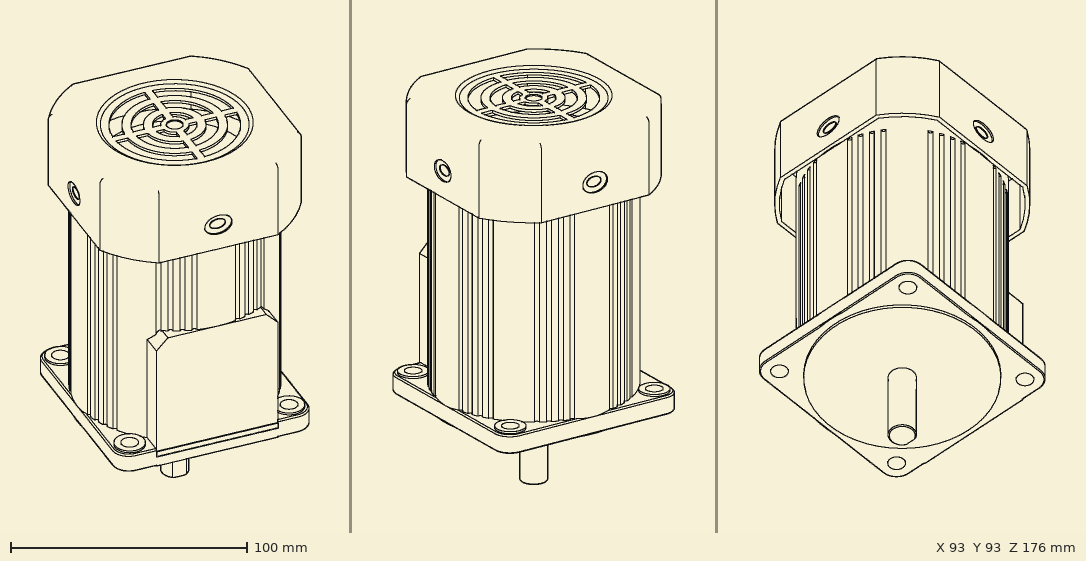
import cadquery as cq
import math

shaft_length = 35.0
pilot_height = 1.5
flange_bottom = shaft_length + pilot_height
flange_thickness = 8.5
flange_top = flange_bottom + flange_thickness
cover_bottom = 140.0
total_height = 176.0

shaft_radius = 6.0
shaft_flat_offset = 5.0
shaft_flat_length = 29.5
shaft_tip_chamfer = 0.5

flange_width = 90.0
flange_corner_radius = 7.5
flange_top_chamfer = 0.7
flange_bottom_chamfer = 0.5
pilot_radius = 41.75
bolt_circle_diameter = 104.0
bolt_spacing = bolt_circle_diameter / math.sqrt(2)
bolt_hole_diameter = 7.5
bolt_pad_radius = 6.7
bolt_pad_height = 0.9

barrel_radius = flange_width / 2
groove_radius = 1.05
groove_groups = 8
grooves_per_group = 4
groove_pitch_angle = 6.5

box_half_width = 28.0
box_top = 100.0
box_chamfer = 5.3
tab_projection = 0.5
tab_height = 2.6
tab_top = 44.0

cover_sides = 4
cover_width = 93.0
cover_corner_radius = 54.0
cover_wall = 2.0
cover_edge_fillet = 3.0
recess_top_radius = 33.2
recess_floor_radius = 31.5
recess_depth = 1.0
grille_thickness = 1.2
grille_rings = [(6.0, 9.4), (13.3, 18.5), (22.4, 27.9)]
grille_bar_width = 3.5
hub_dimple_radius = 3.6
hub_dimple_depth = 0.6

seat_height = 152.2
seat_size = (12.6, 9.4)
seat_depth = 0.8
socket_size = (7.2, 4.6)
socket_depth = 1.2
drill_radius = 2.2
drill_point_depth = 1.9

end_shield_top = 153.7
end_boss_radius = 34.0
end_boss_top = 154.7


def rounded_octagon(width, corner_radius, bottom, height):
    """Square prism whose four corners are cut by a cylinder about the Z axis."""
    square = cq.Workplane("XY").workplane(offset=bottom).rect(width, width).extrude(height)
    cylinder = cq.Workplane("XY").workplane(offset=bottom).circle(corner_radius).extrude(height)
    return square.intersect(cylinder)


def disc(radius, bottom, top):
    return cq.Workplane("XY").workplane(offset=bottom).circle(radius).extrude(top - bottom)


def cover_cavity(bottom, top):
    """Space inside the cover walls between two heights."""
    inner_width = cover_width - 2 * cover_wall
    return rounded_octagon(inner_width, cover_corner_radius - cover_wall, bottom, top - bottom)


def make_shaft():
    shaft = disc(shaft_radius, 0, shaft_length).faces("<Z").chamfer(shaft_tip_chamfer)
    flat_cut = cq.Workplane("XY").box(
        shaft_radius, 2 * shaft_radius, shaft_flat_length, centered=(False, True, False)
    ).translate((shaft_flat_offset, 0, 0))
    return shaft.cut(flat_cut)


def make_flange():
    flange = (
        cq.Workplane("XY").workplane(offset=flange_bottom)
        .rect(flange_width, flange_width).extrude(flange_thickness)
        .edges("|Z").fillet(flange_corner_radius)
        .faces(">Z").chamfer(flange_top_chamfer)
        .faces("<Z").chamfer(flange_bottom_chamfer)
    )
    pads = (
        cq.Workplane("XY").workplane(offset=flange_bottom)
        .rect(bolt_spacing, bolt_spacing, forConstruction=True).vertices()
        .circle(bolt_pad_radius).extrude(flange_thickness + bolt_pad_height)
    )
    return flange.union(pads).union(disc(pilot_radius, shaft_length, flange_bottom))


def cut_bolt_holes(motor):
    holes = (
        cq.Workplane("XY").workplane(offset=shaft_length)
        .rect(bolt_spacing, bolt_spacing, forConstruction=True).vertices()
        .circle(bolt_hole_diameter / 2).extrude(flange_top + bolt_pad_height - shaft_length)
    )
    return motor.cut(holes)


def groove_angles():
    angles = []
    for group in range(groove_groups):
        group_angle = (group + 0.5) * 360 / groove_groups
        for index in range(grooves_per_group):
            offset = (index - (grooves_per_group - 1) / 2) * groove_pitch_angle
            angles.append(math.radians(group_angle + offset))
    return angles


def make_barrel():
    centers = [(barrel_radius * math.cos(a), barrel_radius * math.sin(a)) for a in groove_angles()]
    grooves = (
        cq.Workplane("XY").workplane(offset=flange_top)
        .pushPoints(centers).circle(groove_radius).extrude(cover_bottom - flange_top)
    )
    return disc(barrel_radius, flange_bottom, cover_bottom).cut(grooves)


def make_lead_box():
    box = (
        cq.Workplane("XY")
        .box(barrel_radius, 2 * box_half_width, box_top - flange_bottom, centered=(False, True, False))
        .translate((0, 0, flange_bottom))
        .faces(">Z").edges("|X").chamfer(box_chamfer)
    )
    tab = (
        cq.Workplane("XY")
        .box(barrel_radius + tab_projection, 2 * box_half_width, tab_height, centered=(False, True, False))
        .translate((0, 0, tab_top - tab_height))
    )
    return box.union(tab)


def make_motor():
    motor = make_flange().union(make_barrel()).union(make_lead_box())
    motor = cut_bolt_holes(motor).union(make_shaft())
    end_shield = cover_cavity(cover_bottom, end_shield_top)
    end_shield = end_shield.intersect(disc(barrel_radius, cover_bottom, end_shield_top))
    motor = motor.union(end_shield)
    return motor.union(disc(end_boss_radius, end_shield_top, end_boss_top))


def cut_grille(cover):
    floor = total_height - recess_depth
    recess = (
        cq.Workplane("XY").workplane(offset=floor).circle(recess_floor_radius)
        .workplane(offset=recess_depth).circle(recess_top_radius).loft()
    )
    slots = cq.Workplane("XY")
    for inner_radius, outer_radius in grille_rings:
        ring = (
            cq.Workplane("XY").workplane(offset=floor - grille_thickness)
            .circle(outer_radius).circle(inner_radius).extrude(grille_thickness)
        )
        slots = slots.add(ring)
    slots = slots.combine()
    bar_size = 2 * recess_floor_radius
    for size in [(bar_size, grille_bar_width), (grille_bar_width, bar_size)]:
        bar = (
            cq.Workplane("XY").workplane(offset=floor - grille_thickness)
            .rect(*size).extrude(grille_thickness)
        )
        slots = slots.cut(bar)
    dimple = disc(hub_dimple_radius, floor - hub_dimple_depth, floor)
    return cover.cut(recess).cut(slots).cut(dimple)


def make_screw_seat():
    """Stepped elliptical pocket with a conical drill point, on the -Y side."""
    face = cq.Workplane("XZ", origin=(0, -cover_width / 2, seat_height))
    seat = face.ellipse(seat_size[0] / 2, seat_size[1] / 2).extrude(-seat_depth)
    socket = face.ellipse(socket_size[0] / 2, socket_size[1] / 2).extrude(-socket_depth)
    drill_point = cq.Workplane(
        cq.Solid.makeCone(
            drill_radius, 0, drill_point_depth - socket_depth,
            pnt=cq.Vector(0, socket_depth - cover_width / 2, seat_height), dir=cq.Vector(0, 1, 0)
        )
    )
    return seat.union(socket).union(drill_point)


def cut_screw_seats(cover):
    seat = make_screw_seat()
    for side in range(cover_sides):
        cover = cover.cut(seat.rotate((0, 0, 0), (0, 0, 1), side * 360 / cover_sides))
    return cover


def make_cover():
    shell = rounded_octagon(cover_width, cover_corner_radius, cover_bottom, total_height - cover_bottom)
    shell = shell.faces(">Z").edges().fillet(cover_edge_fillet)
    cavity_top = total_height - recess_depth - grille_thickness
    shell = shell.cut(cover_cavity(cover_bottom, cavity_top))
    return cut_screw_seats(cut_grille(shell))


motor = make_motor()
fan_cover = make_cover()

result = cq.Compound.makeCompound([motor.val(), fan_cover.val()])